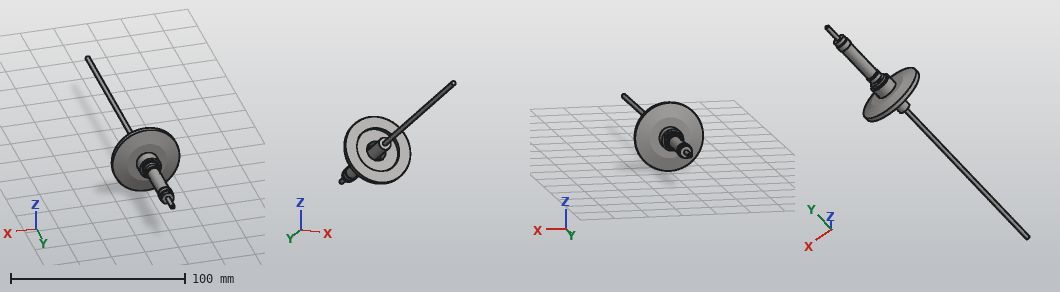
import cadquery as cq
import math


OVERALL_LENGTH = 177.8
ROD_RADIUS = 1.28
ROD_TIP_Y = 58.75
ROD_END_Y = ROD_TIP_Y - OVERALL_LENGTH
TIP_CHAMFER = 0.7

TUBE_RADIUS = 3.6
TUBE_END_Y = 47.9
TUBE_FRONT_Y = -10.5

FLANGE_RADIUS = 19.94
FLANGE_RIM_WIDTH = 2.75
FLANGE_THICKNESS = 4.9
FLANGE_SLOPE_ANGLE = 15
FLANGE_SLOPE_HEIGHT = FLANGE_THICKNESS - FLANGE_RIM_WIDTH
FLANGE_BACK_RADIUS = FLANGE_RADIUS - FLANGE_SLOPE_HEIGHT / math.tan(math.radians(FLANGE_SLOPE_ANGLE))
RECESS_RADIUS = 13.1
RECESS_DEPTH = 2.6

HUB_RADIUS = 6.35
HUB_END_Y = 11.9
SLEEVE_RADIUS = 5.1
SLEEVE_END_Y = 13.6

COLLAR_RADIUS = 4.0
NECK_END_Y = SLEEVE_END_Y + SLEEVE_RADIUS - COLLAR_RADIUS
INNER_COLLAR_END_Y = 18.35
OUTER_COLLAR_START_Y = 41.5
OUTER_COLLAR_END_Y = 45.0
OUTER_COLLAR_BEVEL_WIDTH = 0.5
BRAZE_GROOVE_DEPTH = 0.1
BRAZE_GROOVE_START_Y = 17.3
BRAZE_GROOVE_WIDTH = 0.55

CAVITY_MOUTH_RADIUS = 5.8
CAVITY_MOUTH_END_Y = 10.9
CAVITY_SHOULDER_HEIGHT = 0.55
CAVITY_THROAT_RADIUS = 4.6
CAVITY_THROAT_END_Y = 13.2
CAVITY_END_Y = CAVITY_THROAT_END_Y + CAVITY_THROAT_RADIUS - TUBE_RADIUS


def revolve_profile(points):
    """Revolve a closed outline of (radius, y) points about the Y axis."""
    return cq.Workplane("XY").polyline(points).close().revolve(360, (0, 0, 0), (0, 1, 0))


def cylinder(radius, start_y, end_y):
    """Solid cylinder along Y."""
    return revolve_profile([(0, start_y), (radius, start_y), (radius, end_y), (0, end_y)])


def make_rod():
    rod = cylinder(ROD_RADIUS, ROD_END_Y, ROD_TIP_Y)
    return rod.faces(">Y").chamfer(TIP_CHAMFER)


def make_flange():
    """Disc with a conical clamping slope behind the rim and a recess in its face."""
    body = revolve_profile([
        (0, 0),
        (FLANGE_RADIUS, 0),
        (FLANGE_RADIUS, FLANGE_RIM_WIDTH),
        (FLANGE_BACK_RADIUS, FLANGE_THICKNESS),
        (0, FLANGE_THICKNESS),
    ])
    return body.cut(cylinder(RECESS_RADIUS, 0, RECESS_DEPTH))


def make_hub():
    hub = cylinder(HUB_RADIUS, RECESS_DEPTH, HUB_END_Y)
    sleeve = cylinder(SLEEVE_RADIUS, HUB_END_Y, SLEEVE_END_Y)
    return hub.union(sleeve)


def make_cavity():
    return revolve_profile([
        (0, RECESS_DEPTH),
        (CAVITY_MOUTH_RADIUS, RECESS_DEPTH),
        (CAVITY_MOUTH_RADIUS, CAVITY_MOUTH_END_Y),
        (CAVITY_THROAT_RADIUS, CAVITY_MOUTH_END_Y + CAVITY_SHOULDER_HEIGHT),
        (CAVITY_THROAT_RADIUS, CAVITY_THROAT_END_Y),
        (TUBE_RADIUS, CAVITY_END_Y),
        (0, CAVITY_END_Y),
    ])


def make_neck_and_inner_collar():
    """45 degree neck leading into the collar, with a shallow groove near the collar end."""
    groove_radius = COLLAR_RADIUS - BRAZE_GROOVE_DEPTH
    groove_end_y = BRAZE_GROOVE_START_Y + BRAZE_GROOVE_WIDTH
    return revolve_profile([
        (0, SLEEVE_END_Y),
        (SLEEVE_RADIUS, SLEEVE_END_Y),
        (COLLAR_RADIUS, NECK_END_Y),
        (COLLAR_RADIUS, BRAZE_GROOVE_START_Y),
        (groove_radius, BRAZE_GROOVE_START_Y),
        (groove_radius, groove_end_y),
        (COLLAR_RADIUS, groove_end_y),
        (COLLAR_RADIUS, INNER_COLLAR_END_Y),
        (0, INNER_COLLAR_END_Y),
    ])


def make_outer_collar():
    return revolve_profile([
        (0, OUTER_COLLAR_START_Y),
        (COLLAR_RADIUS, OUTER_COLLAR_START_Y),
        (COLLAR_RADIUS, OUTER_COLLAR_END_Y),
        (TUBE_RADIUS, OUTER_COLLAR_END_Y + OUTER_COLLAR_BEVEL_WIDTH),
        (0, OUTER_COLLAR_END_Y + OUTER_COLLAR_BEVEL_WIDTH),
    ])


housing = make_flange().union(make_hub()).union(make_neck_and_inner_collar()).cut(make_cavity())
result = (
    housing.union(make_outer_collar())
    .union(cylinder(TUBE_RADIUS, TUBE_FRONT_Y, TUBE_END_Y))
    .union(make_rod())
)